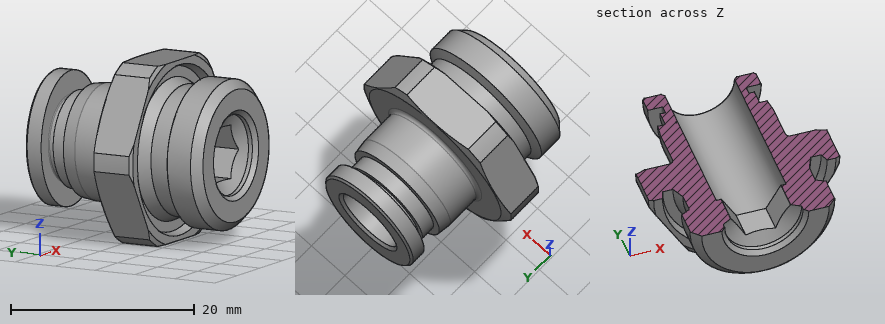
import cadquery as cq
import math


length = 22.7
hex_across_flats = 20.0
hex_turned_diameter = 22.0
hex_corner_radius = hex_turned_diameter / 2

end_chamfer = 1.0
thread_radius = 8.33
thread_end = 3.93
neck_radius = 7.29
neck_start = 4.5
neck_end = 6.54

hex_start = 7.0
hex_width = 5.0
hex_end = hex_start + hex_width
front_bevel_radius = 10.49
front_bevel_depth = 0.23
rear_bevel_radius = 9.85
rear_bevel_depth = 0.39

recess_depth = 1.0
recess_mouth_radius = 9.47
recess_floor_radius = 9.13
neck_root_radius = 7.95

body_radius = 6.51
body_root_fillet = 0.45
taper_start = 16.5
taper_end = 18.05
taper_end_radius = 6.3
ring_radius = 5.45
ring_end = 19.82
sleeve_radius = 4.84
sleeve_fillet = 0.1

collar_half_width = 6.54
collar_half_height = 7.54
collar_thickness = 2.0
collar_chamfer = 0.25

socket_across_flats = 5.95
socket_end = 4.9
bore_radius = 4.5
bore_chamfer = 0.5
bore_straight = 0.5
bore_cone_slope = math.radians(30)
tube_bore_radius = 4.0
tube_bore_chamfer = 0.35


def revolve_about_y(profile):
    """Turn a closed profile, drawn as radius and y, about the Y axis."""
    return profile.close().revolve(360, (0, 0, 0), (0, 1, 0))


def hexagon_prism(across_flats, start, end):
    """Hexagonal bar along Y with its corners on the X axis."""
    across_corners = across_flats / math.cos(math.radians(30))
    return (
        cq.Workplane("XZ", origin=(0, start, 0))
        .polygon(6, across_corners)
        .extrude(start - end)
    )


def make_turned_body():
    """Neck, thread, tapered body and sleeve, apart from the hexagon."""
    collar_face = length - collar_thickness
    profile = (
        cq.Workplane("XY")
        .lineTo(thread_radius - end_chamfer, 0)
        .lineTo(thread_radius, end_chamfer)
        .lineTo(thread_radius, thread_end)
        .lineTo(neck_radius, neck_start)
        .lineTo(neck_radius, neck_end)
        .lineTo(neck_root_radius, hex_start + recess_depth)
        .lineTo(neck_root_radius, hex_end)
        .lineTo(body_radius + body_root_fillet, hex_end)
        .radiusArc((body_radius, hex_end + body_root_fillet), body_root_fillet)
        .lineTo(body_radius, taper_start)
        .lineTo(taper_end_radius, taper_end)
        .lineTo(ring_radius, taper_end)
        .lineTo(ring_radius, ring_end)
        .lineTo(sleeve_radius, ring_end)
        .lineTo(sleeve_radius, collar_face - sleeve_fillet)
        .radiusArc((sleeve_radius + sleeve_fillet, collar_face), sleeve_fillet)
        .lineTo(0, collar_face)
    )
    return revolve_about_y(profile)


def make_hexagon():
    """Hexagon with turned corners, bevelled faces and the seal recess."""
    envelope = revolve_about_y(
        cq.Workplane("XY")
        .moveTo(0, hex_start)
        .lineTo(front_bevel_radius, hex_start)
        .lineTo(hex_corner_radius, hex_start + front_bevel_depth)
        .lineTo(hex_corner_radius, hex_end - rear_bevel_depth)
        .lineTo(rear_bevel_radius, hex_end)
        .lineTo(0, hex_end)
    )
    recess = revolve_about_y(
        cq.Workplane("XY")
        .moveTo(0, hex_start)
        .lineTo(recess_mouth_radius, hex_start)
        .lineTo(recess_floor_radius, hex_start + recess_depth)
        .lineTo(0, hex_start + recess_depth)
    )
    return hexagon_prism(hex_across_flats, hex_start, hex_end).intersect(envelope).cut(recess)


def make_collar():
    """Oval collar, taller than wide, chamfered around its outer end."""
    return (
        cq.Workplane("XZ", origin=(0, length - collar_thickness, 0))
        .ellipse(collar_half_width, collar_half_height)
        .extrude(-collar_thickness)
        .faces(">Y")
        .chamfer(collar_chamfer)
    )


def make_socket_entry():
    """Chamfered bore with a conical bottom that leads into the socket."""
    bore_end = bore_chamfer + bore_straight
    return revolve_about_y(
        cq.Workplane("XY")
        .lineTo(bore_radius + bore_chamfer, 0)
        .lineTo(bore_radius, bore_chamfer)
        .lineTo(bore_radius, bore_end)
        .lineTo(0, bore_end + bore_radius * math.tan(bore_cone_slope))
    )


def make_tube_bore():
    """Bore for the tube, from the collar end up to the socket."""
    return revolve_about_y(
        cq.Workplane("XY")
        .moveTo(0, socket_end)
        .lineTo(tube_bore_radius, socket_end)
        .lineTo(tube_bore_radius, length - tube_bore_chamfer)
        .lineTo(tube_bore_radius + tube_bore_chamfer, length)
        .lineTo(0, length)
    )


result = (
    make_turned_body()
    .union(make_hexagon())
    .union(make_collar())
    .cut(make_socket_entry())
    .cut(hexagon_prism(socket_across_flats, 0, socket_end))
    .cut(make_tube_bore())
)